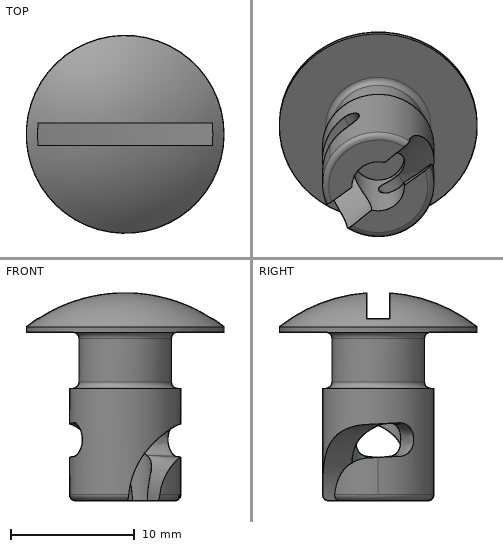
import cadquery as cq
import math

dome_apex_height = 16.85
head_radius = 8.0
head_rim_bottom = 13.62
head_rim_top = 14.07
neck_radius = 3.75
neck_fillet = 0.5
body_radius = 4.5
body_height = 9.1
body_bottom_fillet = 0.5
bore_radius = 2.12
bore_depth = 7.0

driver_slot_width = 1.82
driver_slot_end_x = 7.08
driver_slot_end_z = 14.73
driver_slot_floor_radius = 35.0

cam_slot_count = 2
cam_slot_width = 2.72
cam_arc_radius = 4.84
cam_arc_center_u = 0.6
cam_end_u = -1.75
cam_end_z = 4.96
inner_bottom_u = (cam_arc_center_u + cam_arc_radius) * bore_radius / body_radius
inner_end_u = cam_end_u * bore_radius / body_radius
inner_span_u = inner_bottom_u - inner_end_u
inner_arc_radius = (inner_span_u**2 + cam_end_z**2) / (2 * inner_span_u)
inner_arc_center_u = inner_bottom_u - inner_arc_radius

cutter_inner_overrun = 0.05
cutter_outer_overrun = 0.15
cutter_bottom_overrun = 0.7
arc_steps = 12
end_run_steps = 4
end_round_steps = 8


def stud_body():
    dome_rise = dome_apex_height - head_rim_top
    dome_radius = (head_radius**2 + dome_rise**2) / (2 * dome_rise)
    mid_angle = math.asin(head_radius / dome_radius) / 2
    dome_mid_x = dome_radius * math.sin(mid_angle)
    dome_mid_z = dome_apex_height - dome_radius * (1 - math.cos(mid_angle))
    fillet_outer_radius = neck_radius + neck_fillet
    profile = (
        cq.Workplane("XZ")
        .lineTo(body_radius, 0)
        .lineTo(body_radius, body_height)
        .lineTo(fillet_outer_radius, body_height)
        .radiusArc((neck_radius, body_height + neck_fillet), neck_fillet)
        .lineTo(neck_radius, head_rim_bottom - neck_fillet)
        .radiusArc((fillet_outer_radius, head_rim_bottom), neck_fillet)
        .lineTo(head_radius, head_rim_bottom)
        .lineTo(head_radius, head_rim_top)
        .threePointArc((dome_mid_x, dome_mid_z), (0, dome_apex_height))
        .close()
    )
    stud = profile.revolve(360, (0, 0, 0), (0, 1, 0))
    stud = stud.faces("<Z").edges().fillet(body_bottom_fillet)
    bore = cq.Workplane("XY").circle(bore_radius).extrude(bore_depth)
    return stud.cut(bore)


def driver_slot_cutter():
    floor_center_rise = math.sqrt(driver_slot_floor_radius**2 - driver_slot_end_x**2)
    return (
        cq.Workplane("XZ")
        .center(0, driver_slot_end_z + floor_center_rise)
        .circle(driver_slot_floor_radius)
        .extrude(driver_slot_width / 2, both=True)
    )


def outer_center_line():
    """(u, z, normal angle) on the body surface, from the bottom to the closed end."""
    line = []
    for i in range(arc_steps + 1):
        angle = math.pi / 2 * i / arc_steps
        u = cam_arc_center_u + cam_arc_radius * math.cos(angle)
        line.append((u, cam_arc_radius * math.sin(angle), angle))
    for i in range(1, end_run_steps + 1):
        part = i / end_run_steps
        u = cam_arc_center_u + part * (cam_end_u - cam_arc_center_u)
        z = cam_arc_radius + part * (cam_end_z - cam_arc_radius)
        line.append((u, z, math.pi / 2))
    return line


def inner_center_line():
    """(u, z, normal angle) on the bore surface, at the heights of the outer centre line."""
    line = []
    for _, z, _ in outer_center_line():
        angle = math.asin(z / inner_arc_radius)
        line.append((inner_arc_center_u + inner_arc_radius * math.cos(angle), z, angle))
    return line


def slot_sides(center_line, radius):
    """Points of the upper side, round end and lower side of a slot wrapped on a cylinder."""

    def wrapped(u, z, direction):
        angle = (u + cam_slot_width / 2 * math.cos(direction)) / radius
        height = z + cam_slot_width / 2 * math.sin(direction)
        return cq.Vector(-radius * math.cos(angle), radius * math.sin(angle), height)

    upper = [wrapped(u, z, normal) for u, z, normal in center_line]
    lower = [wrapped(u, z, normal + math.pi) for u, z, normal in reversed(center_line)]
    end_u, end_z, end_normal = center_line[-1]
    end_round = []
    for i in range(end_round_steps + 1):
        turn = math.pi * i / end_round_steps
        end_round.append(wrapped(end_u, end_z, end_normal + turn))
    return [upper, end_round, lower]


def stretched(start_sides, finish_sides, overrun):
    """Sides moved past `finish_sides` along the lines from `start_sides`."""
    sides = []
    for start, finish in zip(start_sides, finish_sides):
        sides.append([b + (b - a) * overrun for a, b in zip(start, finish)])
    return sides


def closed_outline(sides):
    upper, _, lower = sides
    drop = cq.Vector(0, 0, -cutter_bottom_overrun)
    edges = [cq.Edge.makeSpline(side, parameters=range(len(side))) for side in sides]
    edges.append(cq.Edge.makeLine(lower[-1], lower[-1] + drop))
    edges.append(cq.Edge.makeLine(lower[-1] + drop, upper[0] + drop))
    edges.append(cq.Edge.makeLine(upper[0] + drop, upper[0]))
    return edges


def cam_slot_cutter():
    outer_sides = slot_sides(outer_center_line(), body_radius)
    inner_sides = slot_sides(inner_center_line(), bore_radius)
    outer = closed_outline(stretched(inner_sides, outer_sides, cutter_outer_overrun))
    inner = closed_outline(stretched(outer_sides, inner_sides, cutter_inner_overrun))
    faces = [cq.Face.makeRuledSurface(a, b) for a, b in zip(inner, outer)]
    faces.append(cq.Face.makeNSidedSurface(inner, []))
    faces.append(cq.Face.makeNSidedSurface(outer, []))
    return cq.Workplane(cq.Solid.makeSolid(cq.Shell.makeShell(faces)).fix())


result = stud_body().cut(driver_slot_cutter())
cam_cutter = cam_slot_cutter()
for slot_index in range(cam_slot_count):
    slot_angle = 360 / cam_slot_count * slot_index
    result = result.cut(cam_cutter.rotate((0, 0, 0), (0, 0, 1), slot_angle))